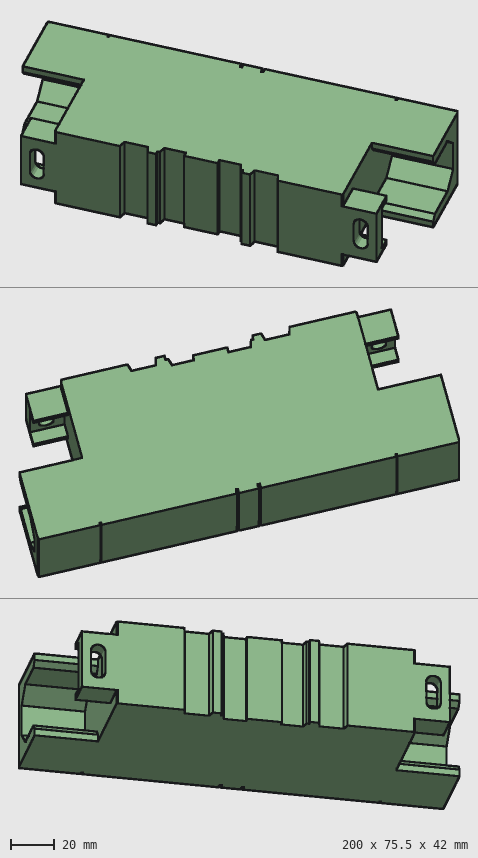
import cadquery as cq

length = 200.0
depth = 75.5
height = 42.0
front = 0.0
back = depth

body_half_length = 70.2
wing_depth = 35.0
wing_front = back - wing_depth
body_edge_chamfer = 0.5

back_chamfer_x = 0.5
back_chamfer_y = 1.2

cavity_back_wall = 7.2
cavity_half_height = 14.8
cavity_floor_half_height = 7.5
cavity_bevel_depth = 7.8
cavity_lip_depth = 2.5
cavity_mouth_half_height = 17.5

tab_reach = 86.5
tab_depth = 14.0
tab_height = 28.5
tab_plate = 7.8
tab_lip = 2.5
slot_x = 78.9
slot_width = 6.8
slot_height = 16.8
slot_stagger = 0.3

outer_recess_depth = 3.5
outer_recess_far = 38.5
outer_recess_near = 25.0
outer_recess_slope = 1.0
inner_recess_depth = 5.5
inner_recess_far = 20.8
inner_step_depth = 2.0
inner_step_x = 19.5
inner_recess_floor_x = 18.5
center_pad_half_width = 8.2
center_pad_depth = 3.0

center_groove_x = 5.2
center_groove_width = 1.0
center_groove_depth = 2.2
end_groove_width = 0.5
end_groove_depth = 1.2


def extrude_plan(points):
    """Extrude an XY outline over the full height, centred on Z = 0."""
    return cq.Workplane("XY").polyline(points).close().extrude(height / 2, both=True)


def box_between(x0, x1, y0, y1, box_height):
    """Box spanning the given X and Y ranges, centred on Z = 0."""
    size_x = abs(x1 - x0)
    size_y = abs(y1 - y0)
    center = ((x0 + x1) / 2, (y0 + y1) / 2, 0)
    return cq.Workplane("XY").box(size_x, size_y, box_height).translate(center)


def make_block():
    half_length = length / 2
    half_outline = [
        (body_half_length - body_edge_chamfer, front),
        (body_half_length, front + body_edge_chamfer),
        (body_half_length, wing_front),
        (half_length, wing_front),
        (half_length, back - back_chamfer_y),
        (half_length - back_chamfer_x, back),
    ]
    return extrude_plan(half_outline + [(-x, y) for x, y in reversed(half_outline)])


def make_cavity(side):
    cavity_back = back - cavity_back_wall
    upper = [
        (wing_front, cavity_mouth_half_height),
        (wing_front + cavity_lip_depth, cavity_half_height),
        (cavity_back - cavity_bevel_depth, cavity_half_height),
        (cavity_back, cavity_floor_half_height),
    ]
    outline = upper + [(y, -z) for y, z in reversed(upper)]
    wing_length = length / 2 - body_half_length
    cavity = cq.Workplane("YZ").polyline(outline).close().extrude(side * wing_length)
    return cavity.translate((side * body_half_length, 0, 0))


def make_tab(side):
    root = side * (body_half_length - body_edge_chamfer)
    tip = side * tab_reach
    tab = box_between(root, tip, front, tab_depth, tab_height)
    channel = box_between(side * body_half_length, tip, tab_plate, tab_depth, tab_height - 2 * tab_lip)
    slot = (
        cq.Workplane("XZ")
        .center(side * slot_x, side * slot_stagger)
        .slot2D(slot_height, slot_width, 90)
        .extrude(-tab_depth)
    )
    return tab.cut(channel).cut(slot)


def make_front_recesses(side):
    outer = [
        (outer_recess_far, front),
        (outer_recess_far - outer_recess_slope, outer_recess_depth),
        (outer_recess_near + outer_recess_slope, outer_recess_depth),
        (outer_recess_near, front),
    ]
    inner = [
        (inner_recess_far, front),
        (inner_recess_far, inner_step_depth),
        (inner_step_x, inner_step_depth),
        (inner_recess_floor_x, inner_recess_depth),
        (center_pad_half_width, inner_recess_depth),
        (center_pad_half_width, center_pad_depth),
        (0, center_pad_depth),
        (0, front),
    ]
    outer_cut = extrude_plan([(side * x, y) for x, y in outer])
    inner_cut = extrude_plan([(side * x, y) for x, y in inner])
    return outer_cut, inner_cut


def make_back_groove(x, width, groove_depth):
    return box_between(x - width / 2, x + width / 2, back - groove_depth, back, height)


result = make_block()
for side in (-1, 1):
    result = result.cut(make_cavity(side)).union(make_tab(side))
    for recess in make_front_recesses(side):
        result = result.cut(recess)
    result = result.cut(make_back_groove(side * center_groove_x, center_groove_width, center_groove_depth))
    result = result.cut(make_back_groove(side * body_half_length, end_groove_width, end_groove_depth))

result = result.translate((0, -depth / 2, 0))